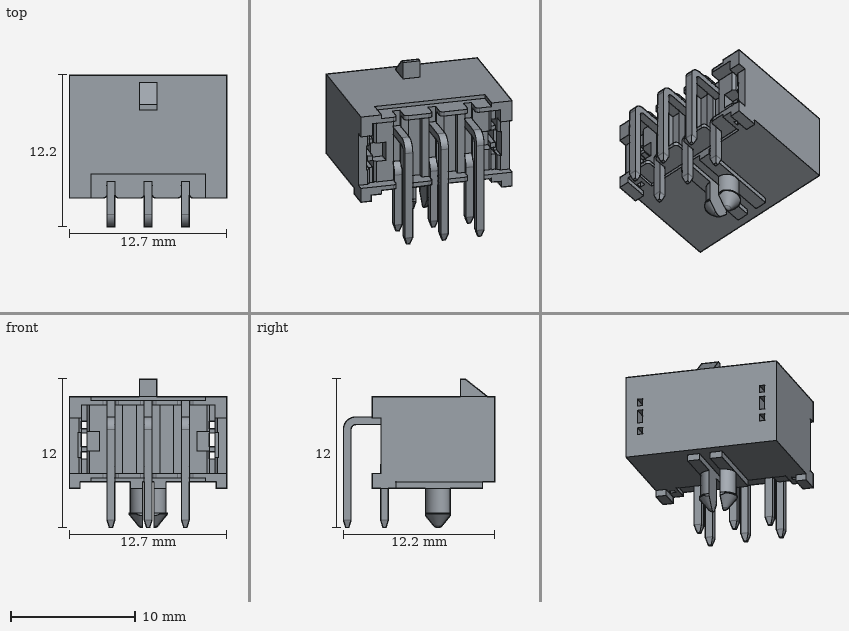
import cadquery as cq
import math


HOUSING_WIDTH = 12.7
HOUSING_DEPTH = 9.9
HOUSING_TOP = 7.38
FLOOR_Z = 0.52

POCKET_WIDTH = 9.25
POCKET_LENGTH = 1.93
POCKET_DEPTH = 0.32

OPENING_WIDTH = 10.75
OPENING_BOTTOM = 1.21
OPENING_TOP = 6.69
WALL_Y = 1.03
SIDE_WALL_Y = 0.72
SIDE_WALL_TOP = 5.66
CORNER_CHAMFER = 0.22

CHANNEL_WIDTH = 0.43
CHANNEL_BACK_Y = 1.42
NOTCH_BACK_Y = 2.03
INNER_NOTCH_WIDTH = 1.0
INNER_NOTCH_Z = (2.98, 4.56)
OUTER_NOTCH_WIDTH = 0.28
OUTER_NOTCH_Z = (2.46, 4.51)
WINDOW_SPANS_Z = ((2.36, 2.93), (3.35, 4.45), (4.81, 5.4))

GROOVE_WIDTH = 1.12
GROOVE_BACK_Y = 1.56

PITCH = 3.0
PIN_SIZE = 0.64
PIN_REAR_Y = -2.31
PIN_TOP_Z = 5.75
PIN_TIP_Z = -3.18
PIN_TAPER_LENGTH = 0.61
PIN_TIP_SIZE = 0.25
BEND_RADIUS = 1.0
PIN_END_Y = 2.54
SLOT_BACK_Y = 1.35
SLOT_MOUTH_RADIUS = 0.3

FOOT_WIDTH = 0.88
RAIL_GAP = 0.9
RAIL_WIDTH = 1.0
RAIL_END_Y = 8.92
PEG_Y = 5.31
PEG_RADIUS = RAIL_WIDTH
BARB_OVERHANG = 0.1
BARB_TOP_Z = -1.98
BARB_RIM_Z = -2.08
DOME_RADIUS = 0.33
DOME_HEIGHT = 0.14
PEG_TIP_Z = PIN_TIP_Z

LATCH_WIDTH = 1.42
LATCH_HEIGHT = 1.41
LATCH_REAR_Y = 7.11
LATCH_CREST_Y = 7.53
LATCH_FRONT_Y = 9.31

PIN_XS = (-PITCH, 0, PITCH)
SIDES = (-1, 1)
OPENING_HALF = OPENING_WIDTH / 2
BACK_WALL_HALF = OPENING_HALF - CHANNEL_WIDTH


def block(x_span, y_span, z_span):
    """Axis-aligned block between the given limits, each pair in either order."""
    spans = [sorted(span) for span in (x_span, y_span, z_span)]
    sizes = [high - low for low, high in spans]
    corner = tuple(low for low, high in spans)
    return cq.Workplane("XY").box(*sizes, centered=False).translate(corner)


def centered_block(center_x, width, y_span, z_span):
    return block((center_x - width / 2, center_x + width / 2), y_span, z_span)


def plan_prism(points, z_span):
    """Vertical prism over a closed outline of (x, y) points."""
    base = cq.Workplane("XY").workplane(offset=z_span[0])
    return base.polyline(points).close().extrude(z_span[1] - z_span[0])


def housing_block():
    """Outer block, thinned at the top and bottom pockets and given its side feet."""
    body = centered_block(0, HOUSING_WIDTH, (0, HOUSING_DEPTH), (FLOOR_Z, HOUSING_TOP))
    for face_z, inner_z in ((HOUSING_TOP, HOUSING_TOP - POCKET_DEPTH), (FLOOR_Z, FLOOR_Z + POCKET_DEPTH)):
        body = body.cut(centered_block(0, POCKET_WIDTH, (0, POCKET_LENGTH), (face_z, inner_z)))
    for side in SIDES:
        outer_x = side * HOUSING_WIDTH / 2
        foot_span = (outer_x, outer_x - side * FOOT_WIDTH)
        body = body.union(block(foot_span, (0, POCKET_LENGTH), (0, FLOOR_Z)))
    return body


def cut_rear_opening(body):
    """Opening up to the back wall, with the side walls set back below their upper corners."""
    opening_z = (OPENING_BOTTOM, OPENING_TOP)
    body = body.cut(centered_block(0, OPENING_WIDTH, (0, WALL_Y), opening_z))
    side_z = (OPENING_BOTTOM, SIDE_WALL_TOP)
    body = body.cut(centered_block(0, HOUSING_WIDTH, (0, SIDE_WALL_Y), side_z))
    for x in (-PITCH / 2, PITCH / 2):
        body = body.cut(centered_block(x, GROOVE_WIDTH, (0, GROOVE_BACK_Y), opening_z))
    return body


def cut_side_channel(body, side):
    """Channel beside the back wall, open through the floor behind the wall line.

    Its mouth is chamfered, two notches widen it and windows run on to the front face.
    """
    inner_x = side * BACK_WALL_HALF
    outer_x = side * OPENING_HALF
    chamfer = side * CORNER_CHAMFER
    opening_z = (OPENING_BOTTOM, OPENING_TOP)
    notch_y = (0, NOTCH_BACK_Y)

    body = body.cut(block((inner_x, outer_x), (0, CHANNEL_BACK_Y), opening_z))
    body = body.cut(block((inner_x, outer_x), (WALL_Y, CHANNEL_BACK_Y), (FLOOR_Z, OPENING_BOTTOM)))
    wall_corner = [(inner_x, WALL_Y), (inner_x - chamfer, WALL_Y), (inner_x, WALL_Y + CORNER_CHAMFER)]
    body = body.cut(plan_prism(wall_corner, opening_z))
    side_corner = [
        (outer_x, SIDE_WALL_Y),
        (outer_x + chamfer, SIDE_WALL_Y),
        (outer_x, SIDE_WALL_Y + CORNER_CHAMFER),
    ]
    body = body.cut(plan_prism(side_corner, (OPENING_BOTTOM, SIDE_WALL_TOP)))

    inner_notch_x = (inner_x, inner_x - side * INNER_NOTCH_WIDTH)
    body = body.cut(block(inner_notch_x, notch_y, INNER_NOTCH_Z))
    outer_notch_x = (outer_x, outer_x + side * OUTER_NOTCH_WIDTH)
    body = body.cut(block(outer_notch_x, notch_y, OUTER_NOTCH_Z))
    for window_z in WINDOW_SPANS_Z:
        body = body.cut(block((inner_x, outer_x), (0, HOUSING_DEPTH), window_z))
    return body


def pin_slot(x):
    """Full-height slot one pin wide, with rounded corners at its mouth."""
    half = PIN_SIZE / 2
    mouth = half + SLOT_MOUTH_RADIUS
    inset = SLOT_MOUTH_RADIUS * (1 - math.sqrt(0.5))
    return (
        cq.Workplane("XY")
        .moveTo(x - mouth, 0)
        .threePointArc((x - half - inset, inset), (x - half, SLOT_MOUTH_RADIUS))
        .lineTo(x - half, SLOT_BACK_Y)
        .lineTo(x + half, SLOT_BACK_Y)
        .lineTo(x + half, SLOT_MOUTH_RADIUS)
        .threePointArc((x + half + inset, inset), (x + mouth, 0))
        .close()
        .extrude(HOUSING_TOP)
    )


def pin(x, rear_y, top_z):
    """Square pin bent down through a right angle and tapered to a blunt tip."""
    inner_radius = BEND_RADIUS - PIN_SIZE
    bend_y = rear_y + BEND_RADIUS
    bend_z = top_z - BEND_RADIUS
    shank_z = PIN_TIP_Z + PIN_TAPER_LENGTH
    diagonal = math.sqrt(0.5)
    bent = (
        cq.Workplane("YZ")
        .workplane(offset=x - PIN_SIZE / 2)
        .moveTo(PIN_END_Y, top_z)
        .lineTo(bend_y, top_z)
        .threePointArc(
            (bend_y - BEND_RADIUS * diagonal, bend_z + BEND_RADIUS * diagonal), (rear_y, bend_z)
        )
        .lineTo(rear_y, shank_z)
        .lineTo(rear_y + PIN_SIZE, shank_z)
        .lineTo(rear_y + PIN_SIZE, bend_z)
        .threePointArc(
            (bend_y - inner_radius * diagonal, bend_z + inner_radius * diagonal),
            (bend_y, top_z - PIN_SIZE),
        )
        .lineTo(PIN_END_Y, top_z - PIN_SIZE)
        .close()
        .extrude(PIN_SIZE)
    )
    tip = (
        cq.Workplane("XY", origin=(x, rear_y + PIN_SIZE / 2, shank_z))
        .rect(PIN_SIZE, PIN_SIZE)
        .workplane(offset=-PIN_TAPER_LENGTH)
        .rect(PIN_TIP_SIZE, PIN_TIP_SIZE)
        .loft(ruled=True)
    )
    return bent.union(tip)


def rail_and_half_peg(side):
    """Rail under the floor carrying one half of the split peg with its barb and domed tip."""
    inner_x = side * RAIL_GAP / 2
    rail_span = (inner_x, inner_x + side * RAIL_WIDTH)
    rail = block(rail_span, (POCKET_LENGTH, RAIL_END_Y), (0, FLOOR_Z))
    barb_radius = PEG_RADIUS + BARB_OVERHANG
    sphere_radius = (DOME_RADIUS**2 + DOME_HEIGHT**2) / (2 * DOME_HEIGHT)
    dome_half_angle = math.asin(DOME_RADIUS / sphere_radius) / 2
    dome_middle = (
        sphere_radius * math.sin(dome_half_angle),
        PEG_TIP_Z + sphere_radius * (1 - math.cos(dome_half_angle)),
    )
    peg = (
        cq.Workplane("XZ")
        .lineTo(PEG_RADIUS, 0)
        .lineTo(PEG_RADIUS, BARB_TOP_Z)
        .lineTo(barb_radius, BARB_TOP_Z)
        .lineTo(barb_radius, BARB_RIM_Z)
        .lineTo(DOME_RADIUS, PEG_TIP_Z + DOME_HEIGHT)
        .threePointArc(dome_middle, (0, PEG_TIP_Z))
        .close()
        .revolve(360, (0, 0, 0), (0, 1, 0))
        .translate((inner_x, PEG_Y, 0))
    )
    outer_limit = inner_x + side * barb_radius
    peg_y = (PEG_Y - PEG_RADIUS, PEG_Y + PEG_RADIUS)
    half_peg = peg.intersect(block((inner_x, outer_limit), peg_y, (PEG_TIP_Z, 0)))
    return rail.union(half_peg)


def latch_ramp():
    crest_z = HOUSING_TOP + LATCH_HEIGHT
    return (
        cq.Workplane("YZ")
        .workplane(offset=-LATCH_WIDTH / 2)
        .polyline(
            [
                (LATCH_REAR_Y, HOUSING_TOP),
                (LATCH_REAR_Y, crest_z),
                (LATCH_CREST_Y, crest_z),
                (LATCH_FRONT_Y, HOUSING_TOP),
            ]
        )
        .close()
        .extrude(LATCH_WIDTH)
    )


housing = cut_rear_opening(housing_block())
for side in SIDES:
    housing = cut_side_channel(housing, side)
for x in PIN_XS:
    housing = housing.cut(pin_slot(x))

result = housing.union(latch_ramp())
for side in SIDES:
    result = result.union(rail_and_half_peg(side))
for x in PIN_XS:
    result = result.union(pin(x, PIN_REAR_Y, PIN_TOP_Z))
    result = result.union(pin(x, PIN_REAR_Y + PITCH, PIN_TOP_Z - PITCH))